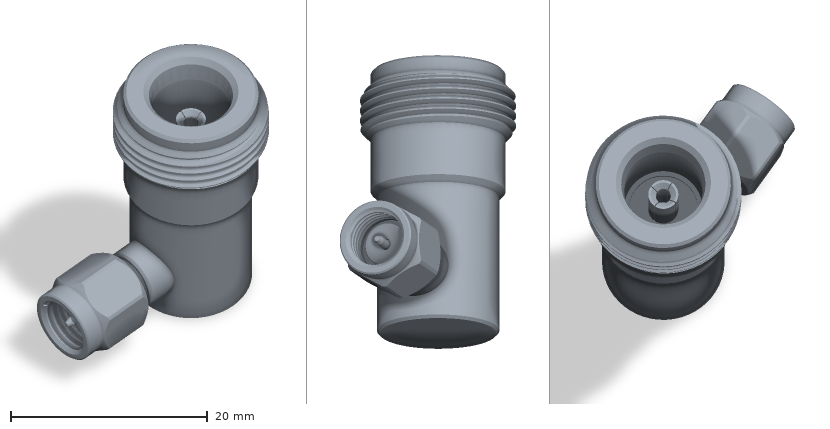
import cadquery as cq
import math


TOTAL_HEIGHT = 27.5
BODY_BASE_Z = -5.54
BODY_TOP_Z = BODY_BASE_Z + TOTAL_HEIGHT
BODY_DIA = 12.45
SOCKET_DIA = 13.72
EDGE_CHAMFER = 0.3
SHOULDER_HEIGHT = (SOCKET_DIA - BODY_DIA) / 2
SHOULDER_TOP_Z = BODY_BASE_Z + 14.9

THREAD_DIA = 15.87
THREAD_PITCH = 25.4 / 24
THREAD_DEPTH = 0.6
THREAD_CREST_WIDTH = THREAD_PITCH / 8
THREAD_BOTTOM_Z = BODY_BASE_Z + 20.37
THREAD_TOP_Z = BODY_BASE_Z + 25.95
THREAD_PHASE_Z = BODY_BASE_Z + 20.19
THREAD_CHAMFER = (THREAD_DIA - SOCKET_DIA) / 2

MOUTH_DIA = 9.66
TAPER_TOP_DIA = 8.55
BORE_DIA = 7.97
MOUTH_CHAMFER = (MOUTH_DIA - TAPER_TOP_DIA) / 2
TAPER_END_DEPTH = 2.5
BORE_DEPTH = 9.0
SOCKET_INSULATOR_DIA = 6.99
INSULATOR_STEP = 0.2

CONTACT_DIA = 3.05
CONTACT_HOLE_DIA = 1.52
CONTACT_LEAD_IN_DIA = 2.57
CONTACT_LEAD_IN_DEPTH = (CONTACT_LEAD_IN_DIA - CONTACT_HOLE_DIA) / 2
CONTACT_TOP_DEPTH = 4.13
CONTACT_SLOT_WIDTH = 0.1

TOTAL_LENGTH = 25.94
PLUG_END = TOTAL_LENGTH - THREAD_DIA / 2
BOSS_DIA = 6.35
BOSS_END = 8.6
BOSS_CHAMFER = 0.25
NECK_DIA = 5.33
NUT_START = 9.6
NUT_END = 15.95
NUT_ACROSS_FLATS = 7.94
NUT_CORNER_DIA = 8.95
NUT_CHAMFER_LENGTH = 0.78
COLLAR_DIA = 7.76
COLLAR_CHAMFER = 0.15

PLUG_MOUTH_DIA = 6.35
PLUG_BORE_DIA = 5.62
PLUG_MOUTH_CHAMFER = (PLUG_MOUTH_DIA - PLUG_BORE_DIA) / 2
PLUG_BORE_DEPTH = 4.0
PLUG_THREAD_PITCH = 25.4 / 36
PLUG_THREAD_DEPTH = 0.36
PLUG_THREAD_CREST_WIDTH = PLUG_THREAD_PITCH / 4
PLUG_THREAD_START_DEPTH = 3.35
PLUG_THREAD_TURNS = 4.45
SLEEVE_DIA = 4.45
SLEEVE_CHAMFER = 0.1
SLEEVE_DEPTH = 2.95

PIN_DIA = 0.94
PIN_TIP_DIA = 0.5
PIN_TIP_DEPTH = 0.58
PIN_CONE_LENGTH = 0.67
PIN_HOLE_DIA = 1.19
PIN_HOLE_DEPTH = 0.4

THREAD_HALF_ANGLE = math.radians(30)
GROOVE_OVERRUN = 0.04


def cylinder(diameter, start, end):
    """Solid cylinder around Z between two heights."""
    return cq.Workplane("XY").workplane(offset=start).circle(diameter / 2).extrude(end - start)


def turned(profile):
    """Revolve (diameter, height) points, closed along the axis, around Z."""
    points = [(0, profile[0][1])]
    points += [(diameter / 2, height) for diameter, height in profile]
    points.append((0, profile[-1][1]))
    return cq.Workplane("XZ").polyline(points).close().revolve(360, (0, 0), (0, 1))


def helical_groove(surface_radius, root_radius, opening, pitch, turns, start):
    """Right-handed V-groove cutter with a flat root; its centre starts on +X at height start."""
    outward = math.copysign(1, surface_radius - root_radius)
    slope = math.tan(THREAD_HALF_ANGLE)
    depth = abs(surface_radius - root_radius)
    root_half = opening / 2 - depth * slope
    edge_half = opening / 2 + GROOVE_OVERRUN * slope
    edge_radius = surface_radius + outward * GROOVE_OVERRUN
    path = cq.Wire.makeHelix(pitch, pitch * turns, root_radius)
    section = [
        (root_radius, -root_half),
        (edge_radius, -edge_half),
        (edge_radius, edge_half),
        (root_radius, root_half),
    ]
    groove = cq.Workplane("XZ").polyline(section).close().sweep(cq.Workplane(path), isFrenet=True)
    return groove.translate((0, 0, start))


def make_body():
    """Stepped outside of the main body."""
    return turned([
        (BODY_DIA - 2 * EDGE_CHAMFER, BODY_BASE_Z),
        (BODY_DIA, BODY_BASE_Z + EDGE_CHAMFER),
        (BODY_DIA, SHOULDER_TOP_Z - SHOULDER_HEIGHT),
        (SOCKET_DIA, SHOULDER_TOP_Z),
        (SOCKET_DIA, THREAD_BOTTOM_Z),
        (THREAD_DIA, THREAD_BOTTOM_Z + THREAD_CHAMFER),
        (THREAD_DIA, THREAD_TOP_Z - THREAD_CHAMFER),
        (SOCKET_DIA, THREAD_TOP_Z),
        (SOCKET_DIA, BODY_TOP_Z - EDGE_CHAMFER),
        (SOCKET_DIA - 2 * EDGE_CHAMFER, BODY_TOP_Z),
    ])


def make_socket_thread_groove():
    """Cutter for the external thread; it runs out through both end chamfers."""
    turns = (THREAD_TOP_Z - THREAD_PHASE_Z) / THREAD_PITCH
    surface = THREAD_DIA / 2
    opening = THREAD_PITCH - THREAD_CREST_WIDTH
    return helical_groove(surface, surface - THREAD_DEPTH, opening, THREAD_PITCH, turns, THREAD_PHASE_Z)


def make_socket_bore():
    """Chamfered, tapered bore with the insulator set slightly below its floor."""
    bore = turned([
        (BORE_DIA, BODY_TOP_Z - BORE_DEPTH),
        (BORE_DIA, BODY_TOP_Z - TAPER_END_DEPTH),
        (TAPER_TOP_DIA, BODY_TOP_Z - MOUTH_CHAMFER),
        (MOUTH_DIA, BODY_TOP_Z),
    ])
    floor = BODY_TOP_Z - BORE_DEPTH
    return bore.union(cylinder(SOCKET_INSULATOR_DIA, floor - INSULATOR_STEP, floor))


def make_contact():
    """Hollow centre contact split by two crossed slots."""
    base = BODY_TOP_Z - BORE_DEPTH - INSULATOR_STEP
    top = BODY_TOP_Z - CONTACT_TOP_DEPTH
    hole = turned([
        (CONTACT_HOLE_DIA, base),
        (CONTACT_HOLE_DIA, top - CONTACT_LEAD_IN_DEPTH),
        (CONTACT_LEAD_IN_DIA, top),
    ])
    contact = cylinder(CONTACT_DIA, base, top).cut(hole)
    slot_height = top - base
    slot_centre = (0, 0, (top + base) / 2)
    for angle in (0, 90):
        slot = cq.Workplane("XY").box(2 * CONTACT_DIA, CONTACT_SLOT_WIDTH, slot_height)
        contact = contact.cut(slot.rotate((0, 0, 0), (0, 0, 1), angle).translate(slot_centre))
    return contact


def make_nut():
    """Hexagonal nut with turned-off corners and both ends chamfered."""
    across_corners = NUT_ACROSS_FLATS / math.cos(math.radians(30))
    hexagon = (
        cq.Workplane("XY").workplane(offset=NUT_START)
        .polygon(6, across_corners).extrude(NUT_END - NUT_START)
        .rotate((0, 0, 0), (0, 0, 1), 90)
    )
    envelope = turned([
        (COLLAR_DIA, NUT_START),
        (NUT_CORNER_DIA, NUT_START + NUT_CHAMFER_LENGTH),
        (NUT_CORNER_DIA, NUT_END - NUT_CHAMFER_LENGTH),
        (COLLAR_DIA, NUT_END),
    ])
    return hexagon.intersect(envelope)


def make_plug_cavity():
    """Cavity around a raised sleeve, which has a shallow clearance hole around the pin."""
    floor = PLUG_END - PLUG_BORE_DEPTH
    cavity = turned([
        (PLUG_BORE_DIA, floor),
        (PLUG_BORE_DIA, PLUG_END - PLUG_MOUTH_CHAMFER),
        (PLUG_MOUTH_DIA, PLUG_END),
    ])
    sleeve_face = PLUG_END - SLEEVE_DEPTH
    sleeve = turned([
        (SLEEVE_DIA, floor),
        (SLEEVE_DIA, sleeve_face - SLEEVE_CHAMFER),
        (SLEEVE_DIA - 2 * SLEEVE_CHAMFER, sleeve_face),
    ])
    pin_hole = cylinder(PIN_HOLE_DIA, sleeve_face - PIN_HOLE_DEPTH, sleeve_face)
    return cavity.cut(sleeve).union(pin_hole)


def make_plug_thread_groove():
    """Cutter for the internal thread."""
    surface = PLUG_BORE_DIA / 2
    opening = PLUG_THREAD_PITCH - PLUG_THREAD_CREST_WIDTH
    start = PLUG_END - PLUG_THREAD_START_DEPTH
    root = surface + PLUG_THREAD_DEPTH
    return helical_groove(surface, root, opening, PLUG_THREAD_PITCH, PLUG_THREAD_TURNS, start)


def make_pin():
    """Centre pin with a conical tip, rooted in the solid neck."""
    tip = PLUG_END - PIN_TIP_DEPTH
    return turned([
        (PIN_DIA, NUT_START),
        (PIN_DIA, tip - PIN_CONE_LENGTH),
        (PIN_TIP_DIA, tip),
    ])


def make_plug():
    """Plug built along +Z, then turned to point along -Y."""
    boss_and_neck = turned([
        (BOSS_DIA, 0),
        (BOSS_DIA, BOSS_END - BOSS_CHAMFER),
        (BOSS_DIA - 2 * BOSS_CHAMFER, BOSS_END),
        (NECK_DIA, BOSS_END),
        (NECK_DIA, NUT_END),
    ])
    collar = turned([
        (COLLAR_DIA, NUT_START + NUT_CHAMFER_LENGTH),
        (COLLAR_DIA, PLUG_END - COLLAR_CHAMFER),
        (COLLAR_DIA - 2 * COLLAR_CHAMFER, PLUG_END),
    ])
    plug = boss_and_neck.union(make_nut()).union(collar)
    plug = plug.cut(make_plug_cavity()).cut(make_plug_thread_groove()).union(make_pin())
    return plug.rotate((0, 0, 0), (1, 0, 0), 90)


body = make_body().cut(make_socket_thread_groove())
adapter = body.union(make_plug())
result = adapter.cut(make_socket_bore()).union(make_contact())